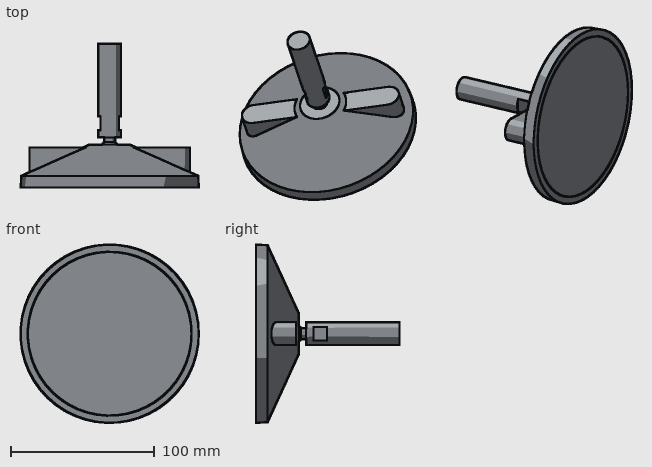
import cadquery as cq

OVERALL_LENGTH = 100.0

PLATE_DIAMETER = 124.0
RIM_TOP_DIAMETER = 123.2
RIM_HEIGHT = 8.2
PLATE_HEIGHT = 30.0
CROWN_DIAMETER = 28.0

RECESS_DIAMETER = 114.0
PAD_DIAMETER = 113.5
GAP_DEPTH = 2.0

BAR_LENGTH = 111.6
BAR_WIDTH = 16.0
BAR_TOP = 28.0

ROD_DIAMETER = 16.0
ROD_LENGTH = 65.0
NECK_DIAMETER = 7.8
BALL_DIAMETER = 12.5
BALL_DEPTH = 3.3

WIDTH_ACROSS_FLATS = 13.0
FLAT_LENGTH = 9.5
FLAT_OFFSET = 5.0

ROD_START = OVERALL_LENGTH - ROD_LENGTH
BALL_CENTRE = PLATE_HEIGHT - BALL_DEPTH


def cylinder_y(diameter, y_start, y_stop):
    """Cylinder on the Y axis between two stations."""
    plane = cq.Workplane("XZ", origin=(0, y_start, 0))
    return plane.circle(diameter / 2).extrude(y_start - y_stop)


def make_plate():
    """Conical plate with the ring-shaped gap around its pad."""
    profile = [
        (0, 0),
        (PLATE_DIAMETER / 2, 0),
        (RIM_TOP_DIAMETER / 2, RIM_HEIGHT),
        (CROWN_DIAMETER / 2, PLATE_HEIGHT),
        (0, PLATE_HEIGHT),
    ]
    plate = cq.Workplane("XY").polyline(profile).close().revolve(360, (0, 0), (0, 1))
    recess = cylinder_y(RECESS_DIAMETER, 0, GAP_DEPTH)
    pad = cylinder_y(PAD_DIAMETER, 0, GAP_DEPTH)
    return plate.cut(recess.cut(pad))


def make_bar():
    """Round-ended bar that rises from the rim and crosses the cone."""
    plane = cq.Workplane("XZ", origin=(0, RIM_HEIGHT, 0))
    return plane.slot2D(BAR_LENGTH, BAR_WIDTH).extrude(RIM_HEIGHT - BAR_TOP)


def make_rod():
    """Round rod with two opposite wrench flats."""
    rod = cylinder_y(ROD_DIAMETER, ROD_START, OVERALL_LENGTH)
    cut_depth = (ROD_DIAMETER - WIDTH_ACROSS_FLATS) / 2
    flat_middle = ROD_START + FLAT_OFFSET + FLAT_LENGTH / 2
    cutter = cq.Workplane("XY").box(cut_depth, FLAT_LENGTH, ROD_DIAMETER)
    for side in (-1, 1):
        cutter_x = side * (WIDTH_ACROSS_FLATS + cut_depth) / 2
        rod = rod.cut(cutter.translate((cutter_x, flat_middle, 0)))
    return rod


def make_ball_stud():
    """Ball partly sunk in the crown, with the neck that carries the rod."""
    ball = cq.Workplane("XY").sphere(BALL_DIAMETER / 2).translate((0, BALL_CENTRE, 0))
    neck = cylinder_y(NECK_DIAMETER, BALL_CENTRE, ROD_START)
    return ball.union(neck)


result = make_plate().union(make_bar()).union(make_ball_stud()).union(make_rod())